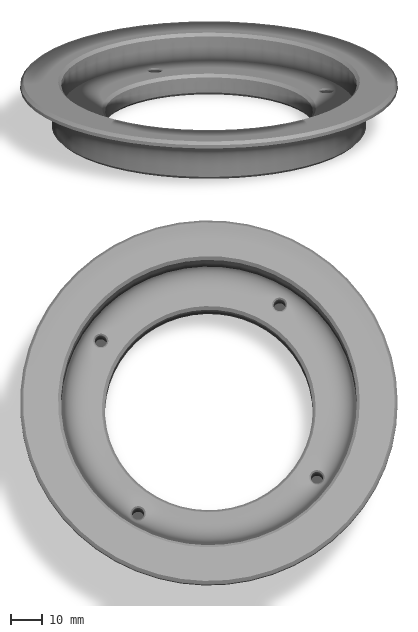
import cadquery as cq

flange_diameter = 120.0
flange_thickness = 2.0
total_height = 16.0

barrel_diameter = 100.0

pocket_diameter = 94.0
pocket_depth = 9.0
bore_diameter = 66.0

edge_chamfer = 1.0

hole_count = 4
hole_diameter = 3.8
hole_depth = 5.0
hole_chamfer = 0.5
hole_circle_radius = 41.0

flange_bottom = total_height - flange_thickness
floor_top = total_height - pocket_depth


def turned_body():
    """Revolve the ring's half section, chamfers included, about Z."""
    c = edge_chamfer
    flange_r = flange_diameter / 2
    barrel_r = barrel_diameter / 2
    pocket_r = pocket_diameter / 2
    bore_r = bore_diameter / 2
    section = [
        (bore_r + c, 0),
        (barrel_r - c, 0),
        (barrel_r, c),
        (barrel_r, flange_bottom - c),
        (barrel_r + c, flange_bottom),
        (flange_r, flange_bottom),
        (flange_r, total_height - c),
        (flange_r - c, total_height),
        (pocket_r + c, total_height),
        (pocket_r, total_height - c),
        (pocket_r, floor_top),
        (bore_r + c, floor_top),
        (bore_r, floor_top - c),
        (bore_r, c),
    ]
    return cq.Workplane("XZ").polyline(section).close().revolve(360, (0, 0, 0), (0, 1, 0))


def floor_hole_cutter():
    """Blind hole with a chamfered mouth, on the +X axis."""
    hole_r = hole_diameter / 2
    hole_bottom = floor_top - hole_depth
    half_section = [
        (0, hole_bottom),
        (hole_r, hole_bottom),
        (hole_r, floor_top - hole_chamfer),
        (hole_r + hole_chamfer, floor_top),
        (0, floor_top),
    ]
    cutter = cq.Workplane("XZ").polyline(half_section).close().revolve(360, (0, 0, 0), (0, 1, 0))
    return cutter.translate((hole_circle_radius, 0, 0))


result = turned_body()
for i in range(hole_count):
    angle = i * 360 / hole_count
    result = result.cut(floor_hole_cutter().rotate((0, 0, 0), (0, 0, 1), angle))